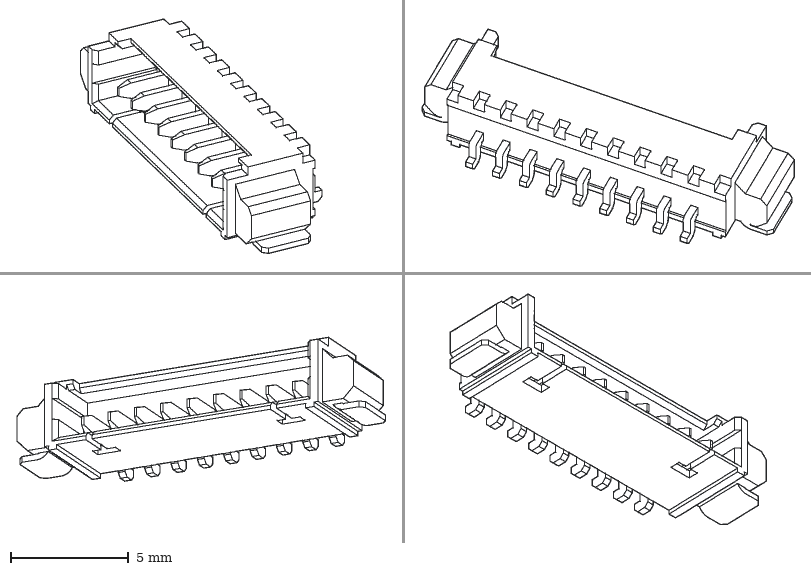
import cadquery as cq


body_width = 12.99
body_depth = 4.2
body_bottom = 0.2
body_top = 3.4
step_depth = 0.98
step_height = 3.0
roof_edge = 1.59
roof_gap_width = 11.25
rear_relief = 0.1
rear_relief_bottom = 0.51
rear_relief_top = 2.51
foot_width = 0.4
foot_inset = 0.2

cavity_width = 11.84
cavity_bottom = 0.57
cavity_top = step_height
cavity_depth = 2.98
lead_in = 0.2
groove_depth = 0.2
groove_bottom = 1.38
groove_top = 2.31

slot_offset = 4.38
slot_width = 0.3
slot_depth = 1.45
window_width = 1.08
window_depth = 0.5

pin_count = 9
pin_row_length = 10.0
pin_pitch = pin_row_length / (pin_count - 1)
pin_width = 0.33
blade_bottom = 0.97
blade_top = 1.72
blade_shoulder = 1.2
blade_tip = 0.67
tip_width = 0.11
tip_height = 0.4
tail_top = 1.38
tail_bottom = 0.9
tail_end = 5.2
tail_rear = 4.87
tail_front = 4.38
tail_foot_top = 0.51
tail_chamfer = 0.2
tail_inner_chamfer = 0.15
tail_outer_radius = 0.13
tail_overlap = 0.16
tail_root = cavity_depth + tail_overlap

notch_width = 0.51
notch_depth = 0.59
notch_floor = 2.9

pad_outer = 8.2
pad_front = 0.89
pad_thickness = 0.26
pad_bend_start = 7.25
pad_bend_end = 6.75
pad_bend_sag = 0.05
anchor_outer = 7.99
pad_chamfer = pad_outer - anchor_outer
anchor_front = 0.4
anchor_rear = 3.21
anchor_bottom = 0.3
anchor_shoulder = 2.21
anchor_root_top = 2.7
anchor_ramp_foot = 6.99
anchor_top_chamfer = 0.3
anchor_bottom_chamfer = 0.5

pin_positions = [i * pin_pitch - pin_row_length / 2 for i in range(pin_count)]


def block(x_min, x_max, y_min, y_max, z_min, z_max):
    """Box between opposite corners."""
    size = (x_max - x_min, y_max - y_min, z_max - z_min)
    return cq.Workplane("XY").box(*size, centered=False).translate((x_min, y_min, z_min))


def centred_block(width, y_min, y_max, z_min, z_max, x=0):
    """Box centred on the given X position."""
    return block(x - width / 2, x + width / 2, y_min, y_max, z_min, z_max)


def extrude_along_x(points, width, x=0):
    """Extrude a Y-Z outline, centred on the given X position."""
    return cq.Workplane("YZ").polyline(points).close().extrude(width / 2, both=True).translate((x, 0, 0))


def make_shell():
    """Housing outline, stepped at the front top and relieved at the back."""
    rear = body_depth - rear_relief
    outline = [
        (0, body_bottom),
        (0, step_height),
        (step_depth, step_height),
        (step_depth, body_top),
        (body_depth, body_top),
        (body_depth, rear_relief_top),
        (rear, rear_relief_top),
        (rear, rear_relief_bottom),
        (body_depth, rear_relief_bottom),
        (body_depth, body_bottom),
    ]
    shell = extrude_along_x(outline, body_width)
    foot_x = body_width / 2 - foot_inset - foot_width / 2
    for side in (-1, 1):
        shell = shell.union(centred_block(foot_width, 0, body_depth, 0, body_bottom, side * foot_x))
    return shell


def roof_lead_in(front, width):
    """Sloped wedge under the front edge of the roof."""
    outline = [
        (front, cavity_top),
        (front, cavity_top + lead_in),
        (front + lead_in, cavity_top),
    ]
    return extrude_along_x(outline, width)


def make_cavity():
    """Open mating cavity with its lead-ins, roof gap and side grooves."""
    cavity = centred_block(cavity_width, 0, cavity_depth, cavity_bottom, cavity_top)
    groove_width = cavity_width + 2 * groove_depth
    cavity = cavity.union(centred_block(groove_width, 0, cavity_depth, groove_bottom, groove_top))

    flare_height = 2 * (cavity_top - cavity_bottom)
    flare = (
        cq.Workplane("XZ", origin=(0, 0, cavity_top))
        .rect(cavity_width + 2 * lead_in, flare_height + 2 * lead_in)
        .workplane(offset=-lead_in)
        .rect(cavity_width, flare_height)
        .loft(ruled=True)
    )
    cavity = cavity.union(flare)

    cavity = cavity.union(centred_block(roof_gap_width, 0, roof_edge, cavity_top, body_top))
    cavity = cavity.union(roof_lead_in(step_depth, cavity_width))
    return cavity.union(roof_lead_in(roof_edge, roof_gap_width))


def make_floor_slot(side):
    """T-shaped opening through the floor."""
    x = side * slot_offset
    stem = centred_block(slot_width, 0, slot_depth, body_bottom, cavity_bottom, x)
    window = centred_block(window_width, slot_depth, slot_depth + window_depth, body_bottom, cavity_bottom, x)
    return stem.union(window)


def make_rear_notches():
    """Row of notches along the rear top edge, one per pin and one at each corner."""
    corner = (body_width - notch_width) / 2
    notches = cq.Workplane("XY")
    for x in pin_positions + [-corner, corner]:
        notch = centred_block(notch_width, body_depth - notch_depth, body_depth, notch_floor, body_top, x)
        notches = notches.add(notch)
    return notches.combine()


def make_pin(x):
    """Contact pin: pointed blade in the cavity and a bent solder tail behind."""
    blade = centred_block(pin_width, blade_shoulder, tail_root, blade_bottom, blade_top, x)
    blade_height = blade_top - blade_bottom
    point = (
        cq.Workplane("XZ", origin=(x, blade_shoulder, (blade_top + blade_bottom) / 2))
        .rect(pin_width, blade_height)
        .workplane(offset=blade_shoulder - blade_tip)
        .rect(tip_width, tip_height)
        .loft(ruled=True)
    )
    outline = [
        (tail_root, tail_top),
        (tail_rear, tail_top),
        (tail_rear, tail_foot_top),
        (tail_end, tail_foot_top),
        (tail_end, tail_chamfer),
        (tail_end - tail_chamfer, 0),
        (tail_front + tail_chamfer, 0),
        (tail_front, tail_chamfer),
        (tail_front, tail_bottom - tail_inner_chamfer),
        (tail_front - tail_inner_chamfer, tail_bottom),
        (tail_root, tail_bottom),
    ]
    tail = extrude_along_x(outline, pin_width, x)
    tail = tail.faces(">Z").edges(">Y").fillet(tail_outer_radius)
    return blade.union(point).union(tail)


def make_right_anchor():
    """Anchor block on the +X side with its solder pad underneath."""
    root = body_width / 2
    anchor = (
        cq.Workplane("XZ", origin=(0, anchor_rear, 0))
        .moveTo(root, anchor_bottom)
        .lineTo(anchor_outer - anchor_bottom_chamfer, anchor_bottom)
        .lineTo(anchor_outer, anchor_bottom + anchor_bottom_chamfer)
        .lineTo(anchor_outer, anchor_shoulder - anchor_top_chamfer)
        .lineTo(anchor_outer - anchor_top_chamfer, anchor_shoulder)
        .lineTo(anchor_ramp_foot, anchor_shoulder)
        .lineTo(root, anchor_root_top)
        .close()
        .extrude(anchor_rear - anchor_front)
    )
    bend_middle = ((pad_bend_start + pad_bend_end) / 2 - pad_bend_sag, anchor_bottom / 2 - pad_bend_sag)
    pad = (
        cq.Workplane("XZ", origin=(0, anchor_rear, 0))
        .moveTo(pad_outer, 0)
        .lineTo(pad_outer, pad_thickness)
        .lineTo(pad_bend_start, pad_thickness)
        .lineTo(pad_bend_start - pad_bend_sag, anchor_bottom)
        .lineTo(pad_bend_end, anchor_bottom)
        .threePointArc(bend_middle, (pad_bend_start, 0))
        .close()
        .extrude(anchor_rear - pad_front)
        .edges("|Z and >X")
        .chamfer(pad_chamfer)
    )
    return anchor.union(pad)


result = make_shell().cut(make_cavity())
for side in (-1, 1):
    result = result.cut(make_floor_slot(side))
result = result.cut(make_rear_notches())
for pin_x in pin_positions:
    result = result.union(make_pin(pin_x))
right_anchor = make_right_anchor()
result = result.union(right_anchor).union(right_anchor.mirror("YZ"))